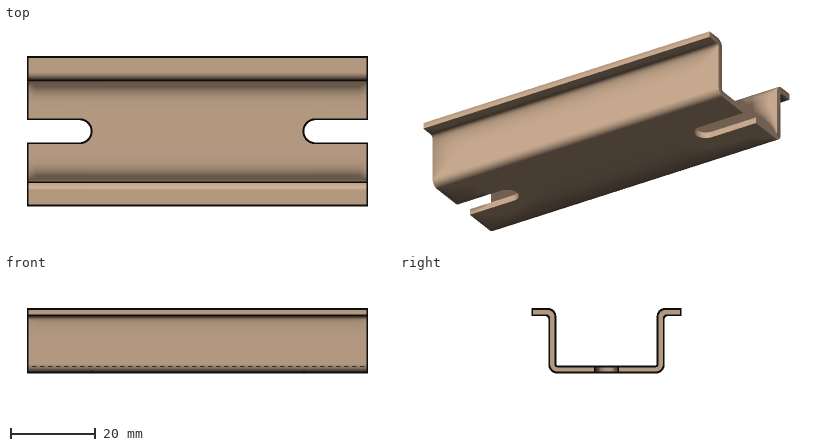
import cadquery as cq

length = 80.0
width = 35.0
height = 15.0

thickness = 1.5
channel_width = 27.0

base_inner_radius = 0.5
base_outer_radius = base_inner_radius + thickness
flange_inner_radius = 0.8
flange_outer_radius = 1.8

slot_width = 5.6
slot_depth = 15.0

wall_outer = channel_width / 2
wall_inner = wall_outer - thickness
flange_underside = height - thickness


def block(y_size, z_bottom, z_top):
    """Full-length bar centred on X and Y."""
    bar = cq.Workplane("XY").box(length, y_size, z_top - z_bottom, centered=(True, True, False))
    return bar.translate((0, 0, z_bottom))


def round_edges(body, y, z, radius):
    """Round the mirrored pair of lengthwise edges at +y and -y."""
    for side in (-1, 1):
        point = (0, side * y, z)
        body = body.edges(cq.selectors.NearestToPointSelector(point)).fillet(radius)
    return body


def make_rail():
    body = block(channel_width, 0, height)
    body = body.union(block(width, flange_underside, height))
    body = body.cut(block(2 * wall_inner, thickness, height))
    body = round_edges(body, wall_outer, 0, base_outer_radius)
    body = round_edges(body, wall_inner, thickness, base_inner_radius)
    body = round_edges(body, wall_outer, flange_underside, flange_inner_radius)
    return round_edges(body, wall_inner, height, flange_outer_radius)


def make_slot(side):
    """Round-ended cutter running past one end of the rail."""
    cutter_length = 2 * slot_depth
    cutter = cq.Workplane("XY").slot2D(cutter_length, slot_width).extrude(thickness)
    return cutter.translate((side * length / 2, 0, 0))


result = make_rail()
for end in (-1, 1):
    result = result.cut(make_slot(end))